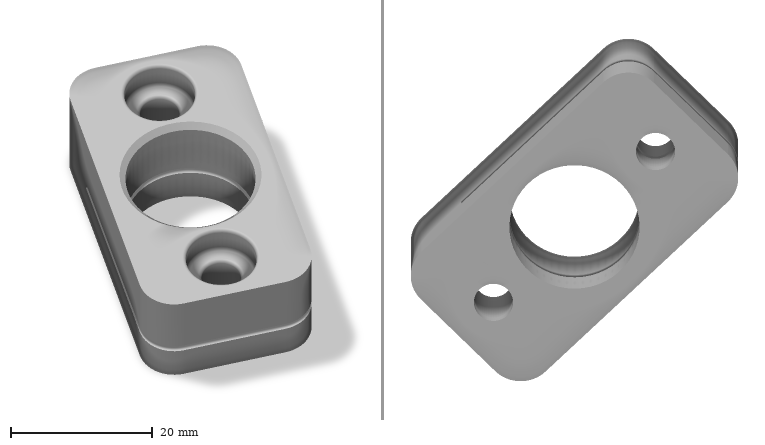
import cadquery as cq

length = 46
width = 25.0
height = 15.0
corner_radius = 5.0

bore_diameter = 18.35
bore_chamfer = 0.85

screw_spacing = 32.0
screw_diameter = 5.5
counterbore_diameter = 10.0
counterbore_depth = 4.0
edge_round = 0.5

slit_length = 33.1
slit_bottom = 5.0
slit_thickness = 1.0


def make_block():
    """Block standing on Z = 0 with rounded vertical corners."""
    block = cq.Workplane("XY").box(length, width, height, centered=(True, True, False))
    return block.edges("|Z").fillet(corner_radius)


def make_bore_cutter():
    """Through bore with a chamfered mouth at the top face."""
    radius = bore_diameter / 2
    return (
        cq.Workplane("XZ")
        .lineTo(radius, 0)
        .lineTo(radius, height - bore_chamfer)
        .lineTo(radius + bore_chamfer, height)
        .lineTo(0, height)
        .close()
        .revolve(360, (0, 0), (0, 1))
    )


def make_screw_cutter(x):
    """Counterbored hole with rounded mouth, floor corner and inner rim."""
    hole_radius = screw_diameter / 2
    counterbore_radius = counterbore_diameter / 2
    floor = height - counterbore_depth
    arc_inset = edge_round * (1 - 0.5**0.5)
    profile = (
        cq.Workplane("XZ")
        .lineTo(hole_radius, 0)
        .lineTo(hole_radius, floor - edge_round)
        .threePointArc(
            (hole_radius + arc_inset, floor - arc_inset),
            (hole_radius + edge_round, floor),
        )
        .lineTo(counterbore_radius - edge_round, floor)
        .threePointArc(
            (counterbore_radius - arc_inset, floor + arc_inset),
            (counterbore_radius, floor + edge_round),
        )
        .lineTo(counterbore_radius, height - edge_round)
        .threePointArc(
            (counterbore_radius + arc_inset, height - arc_inset),
            (counterbore_radius + edge_round, height),
        )
        .lineTo(0, height)
        .close()
    )
    return profile.revolve(360, (0, 0), (0, 1)).translate((x, 0, 0))


def make_slit_cutter():
    """Thin slit through the full width, running in from the +X end."""
    slit = cq.Workplane("XY").box(slit_length, width, slit_thickness, centered=(False, True, False))
    return slit.translate((length / 2 - slit_length, 0, slit_bottom))


result = make_block().cut(make_bore_cutter())
for side in (-1, 1):
    result = result.cut(make_screw_cutter(side * screw_spacing / 2))
result = result.cut(make_slit_cutter())